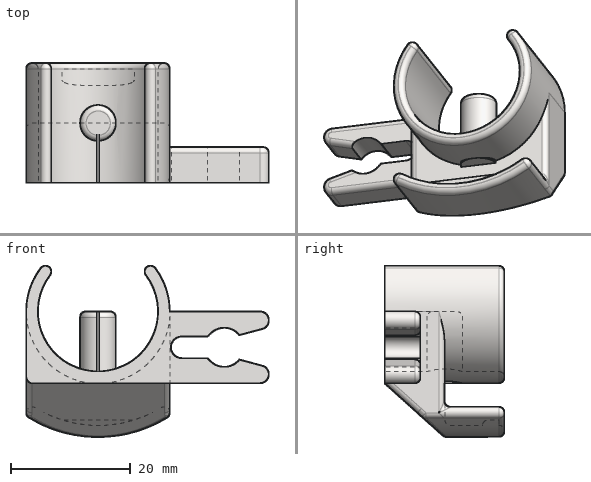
import cadquery as cq
import math

depth = 20.0
bore_radius = 10.0
wall = 2.0
outer_radius = bore_radius + wall
edge_round = 0.97
lip_center_z = 6.65

block_depth = 10.0
block_round = 0.97
slope_round = 0.97
plate_start_y = 8.1
inner_round = 0.97
slope_start_z = -outer_radius
bottom_z = -20.98
bottom_radius = 22.0

catch_top_z = -18.05
catch_length = 2.75
catch_round = 0.97
catch_overlap = 0.15

pin_radius = 3.0
pin_y = 10.0
pin_round = 0.97
fin_width = 0.5

arm_end_x = 28.5
arm_depth = 6.0
arm_round = 0.97
finger_round = 1.5
mouth_angle = math.radians(15)
slot_z = -outer_radius / 2
slot_half_height = 1.8
slot_end_x = 12.2
socket_x = 21.05
socket_radius = 3.25


def extrude_back(profile, length):
    """Extrude an XZ profile from the front face toward +Y."""
    return profile.extrude(-length)


def rounded_arc_band(center_z, inner, outer, end_x, end_z):
    """Band between two concentric arcs with fully rounded ends and a rounded back edge."""
    middle = (inner + outer) / 2
    half = (outer - inner) / 2
    ux = end_x / middle
    uz = (end_z - center_z) / middle

    def end_point(radius):
        return (radius * ux, center_z + radius * uz)

    def mirrored(point):
        return (-point[0], point[1])

    tip = (end_x - half * uz, end_z + half * ux)
    start_outer = end_point(outer)
    start_inner = end_point(inner)
    profile = (
        cq.Workplane("XZ")
        .moveTo(*start_outer)
        .threePointArc(tip, start_inner)
        .threePointArc((0, center_z - inner), mirrored(start_inner))
        .threePointArc(mirrored(tip), mirrored(start_outer))
        .threePointArc((0, center_z - outer), start_outer)
        .close()
    )
    return extrude_back(profile, depth).faces(">Y").edges().fillet(edge_round)


def make_clip():
    middle = bore_radius + wall / 2
    end_x = math.sqrt(middle**2 - lip_center_z**2)
    return rounded_arc_band(0, bore_radius, outer_radius, end_x, lip_center_z)


def make_base():
    """Block and rear plate, which share one curved, round-cornered bottom."""
    center_z = bottom_z + bottom_radius
    middle = bottom_radius - wall / 2
    end_x = outer_radius - wall / 2
    end_z = center_z - math.sqrt(middle**2 - end_x**2)
    corner_x = end_x * bottom_radius / middle
    corner_z = center_z + (end_z - center_z) * bottom_radius / middle
    profile = (
        cq.Workplane("XZ")
        .moveTo(-outer_radius, 0)
        .lineTo(outer_radius, 0)
        .lineTo(outer_radius, end_z)
        .tangentArcPoint((corner_x, corner_z), relative=False)
        .threePointArc((0, bottom_z), (-corner_x, corner_z))
        .tangentArcPoint((-outer_radius, end_z), relative=False)
        .close()
    )
    slope = (
        cq.Workplane("YZ")
        .polyline([(0, slope_start_z), (block_depth, bottom_z), (0, bottom_z)])
        .close()
        .extrude(outer_radius, both=True)
    )
    prism = extrude_back(profile, depth)
    envelope = prism.cut(slope)
    slope_sides = envelope.edges(
        cq.selectors.ParallelDirSelector(cq.Vector(0, block_depth, bottom_z - slope_start_z))
    )
    envelope = slope_sides.fillet(slope_round)

    block_height = -bottom_z
    block = (
        cq.Workplane("XY", origin=(0, 0, bottom_z))
        .box(2 * outer_radius, block_depth, block_height, centered=(True, False, False))
        .edges("|Z and >Y")
        .fillet(block_round)
        .intersect(prism)
    )
    plate = rounded_arc_band(center_z, bottom_radius - wall, bottom_radius, end_x, end_z)
    behind = cq.Workplane("XY", origin=(0, plate_start_y, bottom_z)).box(
        2 * outer_radius, depth, block_height, centered=(True, False, False)
    )
    catch_start_y = depth - edge_round - catch_length
    catch_base_z = bottom_z + wall / 2
    catch_half_width = math.sqrt((bottom_radius - wall) ** 2 - (center_z - catch_top_z) ** 2) + catch_overlap
    catch = (
        cq.Workplane("XY", origin=(0, catch_start_y, catch_base_z))
        .box(2 * catch_half_width, catch_length, catch_top_z - catch_base_z, centered=(True, False, False))
        .edges("|X and >Z and <Y")
        .fillet(catch_round)
    )
    base = block.union(plate.intersect(behind))
    margin = 0.05
    inner_corner = cq.selectors.BoxSelector(
        (-outer_radius, block_depth - margin, end_z),
        (outer_radius, block_depth + margin, slope_start_z),
    )
    corner_edges = base.edges(inner_corner).edges("not |Z")
    return corner_edges.fillet(inner_round).intersect(envelope).union(catch)


def make_arm():
    """Arm with a forked end, drawn as one closed outline symmetric about the slot."""
    socket_offset = socket_radius * math.sqrt(0.5)
    ramp_x = socket_x - socket_offset
    slot_corner_x = ramp_x - (socket_offset - slot_half_height)

    finger_x = arm_end_x - finger_round
    finger_rise = -slot_z - finger_round
    taper_x = finger_x + finger_round * math.sin(mouth_angle)
    taper_rise = finger_rise - finger_round * math.cos(mouth_angle)
    line_distance = (taper_x - socket_x) * math.sin(mouth_angle) - taper_rise * math.cos(mouth_angle)
    lip_angle = mouth_angle + math.asin(-line_distance / socket_radius)
    lip_x = socket_x + socket_radius * math.cos(lip_angle)
    lip_rise = socket_radius * math.sin(lip_angle)

    upper = (
        cq.Workplane("XZ", origin=(0, 0, slot_z))
        .moveTo(slot_end_x, 0)
        .threePointArc(
            (slot_end_x + slot_half_height * (1 - math.sqrt(0.5)), slot_half_height * math.sqrt(0.5)),
            (slot_end_x + slot_half_height, slot_half_height),
        )
        .lineTo(slot_corner_x, slot_half_height)
        .lineTo(ramp_x, socket_offset)
        .threePointArc((socket_x, socket_radius), (lip_x, lip_rise))
        .lineTo(taper_x, taper_rise)
        .threePointArc((arm_end_x, finger_rise), (finger_x, -slot_z))
        .lineTo(0, -slot_z)
        .lineTo(0, 0)
        .close()
    )
    upper = extrude_back(upper, arm_depth)
    arm = upper.union(upper.mirror("XY", (0, 0, slot_z)))
    outer_edges = arm.faces(">Y").edges(">Z or <Z or >X")
    return outer_edges.fillet(arm_round)


def make_pin():
    pin = (
        cq.Workplane("XY", origin=(0, pin_y, -outer_radius))
        .circle(pin_radius)
        .extrude(outer_radius)
        .faces(">Z")
        .edges()
        .fillet(pin_round)
    )
    fin = cq.Workplane("XY").box(fin_width, pin_y, outer_radius, centered=(True, False, False))
    return pin.union(fin.translate((0, 0, -outer_radius)))


bore = extrude_back(cq.Workplane("XZ").circle(bore_radius), depth)
result = make_base().union(make_arm()).cut(bore).union(make_clip()).union(make_pin())